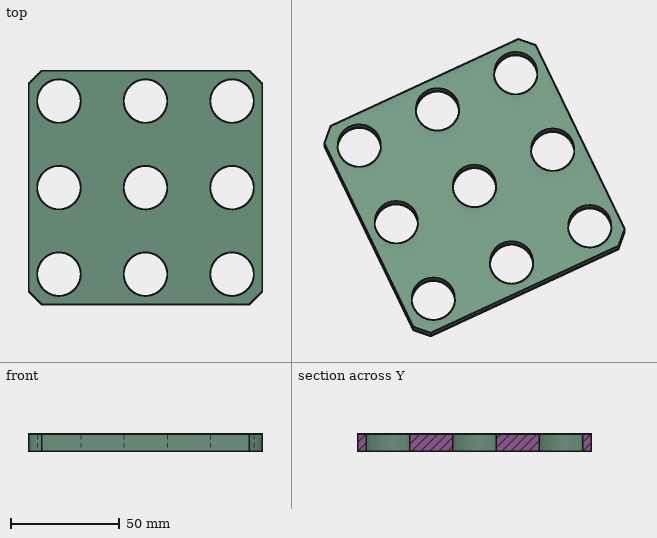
import cadquery as cq

side = 108.0
thickness = 8.0
corner_chamfer = 6.0

hole_diameter = 20.0
holes_per_side = 3
hole_pitch = 2 * hole_diameter

plate = cq.Workplane("XY").box(side, side, thickness)
plate = plate.edges("|Z").chamfer(corner_chamfer)

result = (
    plate.faces(">Z")
    .workplane()
    .rarray(hole_pitch, hole_pitch, holes_per_side, holes_per_side)
    .hole(hole_diameter)
)